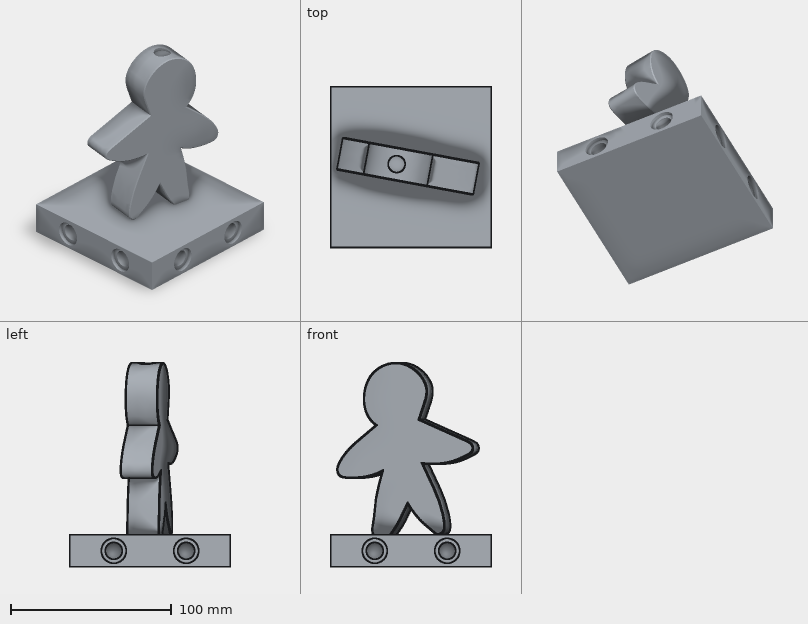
import cadquery as cq
import math

base_side = 100.0
base_height = 20.0

socket_spacing = 45.0
socket_diameter = 10.5
recess_diameter = 15.5
recess_depth = 2.5
socket_wall = 0.75

figure_thickness = 20.5
figure_turn = -10.5
figure_shift = 0.25
edge_chamfer = 0.6
foot_sink = 5.0

pocket_diameter = 10.5
pocket_offset = -9.1
pocket_floor = 124.7
pocket_cut_height = 5.0

left_neck = (-20.6, 88.0)
right_neck = (7.2, 91.7)
right_armpit = (9.4, 64.0)
crotch = (-0.3, 38.9)
left_armpit = (-16.6, 59.1)

crown_height = 126.96
head = [(-25.6, 93.5), (-28.2, 105.3), (-21.8, 121.2), (-6.8, crown_height)]
head += [(6.0, 121.2), (11.9, 110.8), (9.4, 98.2)]
right_arm = [(16.5, 87.7), (28.5, 82.4), (37.6, 78.3), (40.6, 75.9)]
right_arm += [(40.9, 72.3), (36.9, 69.0), (29.4, 65.7), (20.3, 63.9)]
right_leg = [(20.0, 40.5), (22.6, 30.9), (23.2, 25.7), (22.2, 21.6)]
right_leg += [(19.0, 19.97), (14.3, 22.9), (9.0, 27.3), (3.2, 33.8)]
left_leg = [(-5.3, 28.6), (-10.5, 20.4), (-17.0, base_height - foot_sink)]
left_leg += [(-22.5, 20.4), (-22.2, 28.6), (-20.9, 40.5), (-18.8, 50.9)]
left_arm = [(-25.0, 56.1), (-33.0, 55.1), (-39.2, 55.2), (-43.3, 56.4)]
left_arm += [(-45.0, 59.7), (-43.7, 64.9), (-39.5, 71.2), (-29.4, 80.7)]


def base_plate():
    return cq.Workplane("XY").box(base_side, base_side, base_height, centered=(True, True, False))


def side_socket(along):
    """Recess and round-bottomed socket entering the -Y side at X = along."""
    socket_radius = socket_diameter / 2
    straight_depth = recess_depth + socket_wall
    socket_depth = straight_depth + socket_radius
    arc_step = socket_radius * math.sqrt(0.5)
    half_section = (
        cq.Workplane("XY")
        .lineTo(recess_diameter / 2, 0)
        .lineTo(recess_diameter / 2, recess_depth)
        .lineTo(socket_radius, recess_depth)
        .lineTo(socket_radius, straight_depth)
        .threePointArc((arc_step, straight_depth + arc_step), (0, socket_depth))
        .close()
    )
    cutter = half_section.revolve(360, (0, 0, 0), (0, 1, 0))
    return cutter.translate((along, -base_side / 2, base_height / 2))


def figure():
    """Chamfered figure with its pocket, in its turned position on the base."""
    outline = (
        cq.Workplane("XZ", origin=(0, figure_thickness / 2, 0))
        .moveTo(*left_neck)
        .spline(head + [right_neck], includeCurrent=True)
        .spline(right_arm + [right_armpit], includeCurrent=True)
        .spline(right_leg + [crotch], includeCurrent=True)
        .spline(left_leg + [left_armpit], includeCurrent=True)
        .spline(left_arm + [left_neck], includeCurrent=True)
        .close()
    )
    body = outline.extrude(figure_thickness)
    body = body.faces("<Y or >Y").chamfer(edge_chamfer)
    pocket = (
        cq.Workplane("XY", origin=(pocket_offset, 0, pocket_floor))
        .circle(pocket_diameter / 2)
        .extrude(pocket_cut_height)
    )
    body = body.cut(pocket)
    return body.translate((0, figure_shift, 0)).rotate((0, 0, 0), (0, 0, 1), figure_turn)


result = base_plate().union(figure())

for turn in (0, 90, 180, 270):
    for along in (-socket_spacing / 2, socket_spacing / 2):
        result = result.cut(side_socket(along).rotate((0, 0, 0), (0, 0, 1), turn))